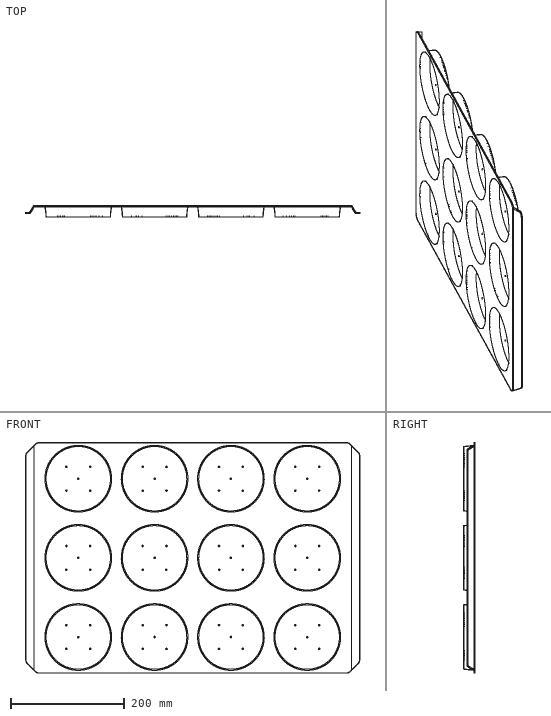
import cadquery as cq
import math

length = 591.0
height = 408.0
depth = 20.0
sheet = 2.0
corner_cut = 20.0
corner_radius = 10.0

flange_width = 15.0
flange_depth = 14.0
slope_angle = math.radians(60)
lip_outer_radius = 4.0
lip_inner_radius = lip_outer_radius - sheet

columns = 4
rows = 3
column_pitch = 135.0
row_pitch = 140.0
rim_diameter = 118.0
base_diameter = 114.0

drain_diameter = 2.0
drain_spacing = 42.0

plate_back = depth / 2
plate_front = plate_back - sheet
cup_base = -depth / 2

cup_centres = [
    ((column - (columns - 1) / 2) * column_pitch, (row - (rows - 1) / 2) * row_pitch)
    for column in range(columns)
    for row in range(rows)
]
drain_offsets = [(0, 0)] + [
    (x * drain_spacing / 2, z * drain_spacing / 2) for x in (-1, 1) for z in (-1, 1)
]


def make_sheet():
    """Bent sheet: flat plate with a sloped and lipped flange along each X end."""
    end = length / 2
    bend_shift = sheet * math.tan(slope_angle / 2)
    slope_run = (flange_depth - sheet) / math.tan(slope_angle)
    lip_front = plate_back - flange_depth
    lip_back = lip_front + sheet

    front_top = end - flange_width
    front_bottom = front_top + slope_run
    right_front = [(front_top, plate_front), (front_bottom, lip_front), (end, lip_front)]
    right_back = [
        (end, lip_back),
        (front_bottom + bend_shift, lip_back),
        (front_top + bend_shift, plate_back),
    ]
    right = right_front + right_back
    left = [(-x, y) for x, y in reversed(right)]
    body = (
        cq.Workplane("XY").polyline(right + left).close().extrude(height / 2, both=True)
    )
    for side in (-1, 1):
        outer_edge = cq.selectors.NearestToPointSelector((side * front_bottom, lip_front, 0))
        body = body.edges("|Z").edges(outer_edge).fillet(lip_outer_radius)
        inner_edge = cq.selectors.NearestToPointSelector(
            (side * (front_bottom + bend_shift), lip_back, 0)
        )
        body = body.edges("|Z").edges(inner_edge).fillet(lip_inner_radius)
    outline = (
        cq.Workplane("XZ")
        .rect(length, height)
        .extrude(depth, both=True)
        .edges("|Y")
        .chamfer(corner_cut)
        .edges("|Y")
        .fillet(corner_radius)
    )
    return body.intersect(outline)


def turned_at_cups(profile):
    """Turns a (y, radius) profile about the Y axis at every cup centre."""
    turned = cq.Workplane("YZ").polyline(profile).close().revolve(360, (0, 0), (1, 0)).val()
    copies = [turned.translate(cq.Vector(x, 0, z)) for x, z in cup_centres]
    return cq.Workplane("XY").newObject([cq.Compound.makeCompound(copies)])


def add_cups(body):
    """Adds the tapered cups in front of the plate, open at its back."""
    outer_rim = rim_diameter / 2
    outer_base = base_diameter / 2
    outside = [(plate_front, 0), (plate_front, outer_rim), (cup_base, outer_base), (cup_base, 0)]
    inside = [
        (plate_back, 0),
        (plate_back, outer_rim - sheet),
        (cup_base + sheet, outer_base - sheet),
        (cup_base + sheet, 0),
    ]
    return body.union(turned_at_cups(outside)).cut(turned_at_cups(inside))


def drill_drains(body):
    """Drills the drain pattern through every cup base."""
    points = [(x + dx, z + dz) for x, z in cup_centres for dx, dz in drain_offsets]
    drills = (
        cq.Workplane("XZ", origin=(0, cup_base + sheet, 0))
        .pushPoints(points)
        .circle(drain_diameter / 2)
        .extrude(sheet)
    )
    return body.cut(drills)


result = drill_drains(add_cups(make_sheet()))